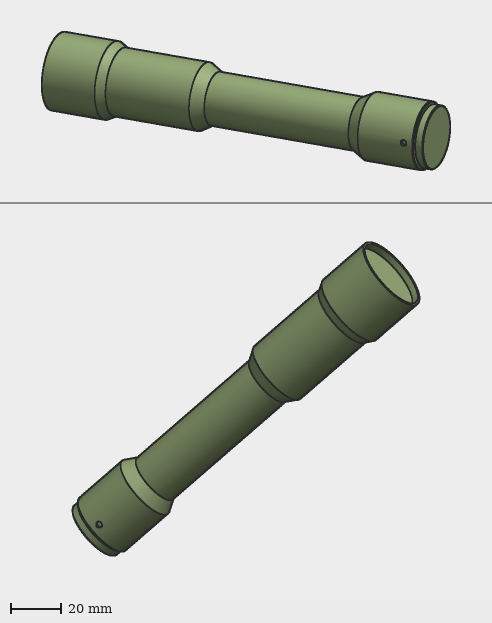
import cadquery as cq
import math

HEAD_RADIUS = 16.0
BODY_RADIUS = 14.0
SHAFT_RADIUS = 11.0
END_RADIUS = 13.0
GROOVE_RADIUS = 12.0

LENGTH = 166.5
HEAD_END = 23.3
BODY_START = 27.1
BODY_END = 63.9
SHAFT_START = 69.2
SHAFT_END = 132.6
COLLAR_START = 138.1
COLLAR_END = 162.5
GROOVE_WIDTH = 0.7
EDGE_CHAMFER = 0.3

RECESS_RADIUS = 15.0
RECESS_DEPTH = 3.0

HOLE_COUNT = 3
HOLE_X = 158.3
HOLE_DIAMETER = 2.5
HOLE_DEPTH = 1.7
FIRST_HOLE_ANGLE = 54.6


def stepped_body():
    """Revolve the outer profile about the X axis."""
    groove_end = COLLAR_END + GROOVE_WIDTH
    profile = [
        (0, 0),
        (0, HEAD_RADIUS),
        (HEAD_END, HEAD_RADIUS),
        (BODY_START, BODY_RADIUS),
        (BODY_END, BODY_RADIUS),
        (SHAFT_START, SHAFT_RADIUS),
        (SHAFT_END, SHAFT_RADIUS),
        (COLLAR_START, BODY_RADIUS),
        (COLLAR_END - EDGE_CHAMFER, BODY_RADIUS),
        (COLLAR_END, BODY_RADIUS - EDGE_CHAMFER),
        (COLLAR_END, GROOVE_RADIUS),
        (groove_end, GROOVE_RADIUS),
        (groove_end, END_RADIUS),
        (LENGTH - EDGE_CHAMFER, END_RADIUS),
        (LENGTH, END_RADIUS - EDGE_CHAMFER),
        (LENGTH, 0),
    ]
    return cq.Workplane("XY").polyline(profile).close().revolve(360, (0, 0), (1, 0))


def head_recess():
    return cq.Workplane("YZ").circle(RECESS_RADIUS).extrude(RECESS_DEPTH)


def screw_hole(angle):
    """Cutter running inward from the collar surface, starting just outside it."""
    start_radius = BODY_RADIUS + HOLE_DEPTH
    outward = cq.Vector(0, math.cos(math.radians(angle)), math.sin(math.radians(angle)))
    start = cq.Vector(HOLE_X, 0, 0) + outward * start_radius
    return cq.Solid.makeCylinder(HOLE_DIAMETER / 2, 2 * HOLE_DEPTH, start, outward * -1)


result = stepped_body().cut(head_recess())
for index in range(HOLE_COUNT):
    result = result.cut(screw_hole(FIRST_HOLE_ANGLE + index * 360 / HOLE_COUNT))